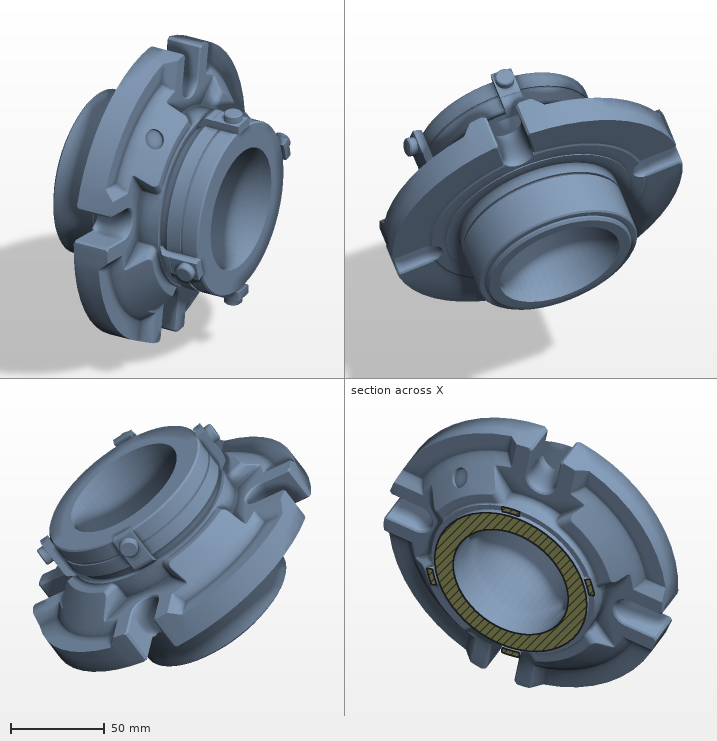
import cadquery as cq
import math


bore_diameter = 68.0
sleeve_diameter = 90.5
nose_diameter = 82.5
nose_length = 2.3
nose_chamfer = 1.3
sleeve_chamfer = 0.8
groove_diameter = 87.5
groove_start = 26.7
groove_width = 1.7

flange_diameter = 165.1
flange_front = 35.5
flange_back = 56.0
outer_face_diameter = 120.5
outer_face_base_diameter = 123.0
inner_face_diameter = 104.8
face_step = 0.5

slot_count = 4
slot_tilt = 9.8
slot_width = 16.8
slot_bottom_radius = 55.0
slot_edge_chamfer = 0.8
slot_corner_chamfer = 1.3

rim_back = 50.4
pad_half_width = 17.7
rim_corner_round = 1.0

hub_diameter = 96.7
hub_end = 68.2
gland_end = 67.2
low_segment_end = 63.9
low_segment_angle = slot_tilt + 45.0
cone_sum = 121.7
pocket_half_width = 14.5
pocket_base_radius = 46.0
pocket_half_angle = 43.0
pocket_inset = 3.3
pocket_end_round = 3.3
pocket_foot_round = 0.9
pocket_rim_round = 0.7

port_diameter = 11.0
port_depth = 2.3
port_x = 59.5
port_angle = -35.0

ring_diameter = 96.7
ring_start = 72.8
ring_end = 92.6
ring_chamfer = 0.8
ring_groove_diameter = 95.1
ring_groove_start = 81.7
ring_groove_width = 1.5

clip_angles = (0.0, 75.0, 180.0, 255.0)
clip_end = 94.1
clip_tip = 68.5
clip_groove_start = 77.8
clip_groove_end = 78.7
clip_groove_depth = 0.3
clip_bend = 73.1
clip_bend_round = 3.3
clip_span = 12.6
clip_outer_radius = 53.5
clip_tip_inner_radius = 45.0
clip_tip_outer_radius = 47.0
screw_x = 87.8
screw_head_diameter = 10.0
screw_head_top = 57.6
screw_head_chamfer = 0.7

segment_angle = 360.0 / slot_count
slot_angles = [slot_tilt + i * segment_angle for i in range(slot_count)]
flange_radius = flange_diameter / 2
beyond = 1.2 * flange_radius
touch = 0.03


def tube(start, end, diameter):
    """Solid cylinder along X."""
    return cq.Workplane("YZ", origin=(start, 0, 0)).circle(diameter / 2).extrude(end - start)


def revolve(points, angle=360):
    """Revolve a closed (x, radius) outline about the X axis, starting at +Y."""
    return cq.Workplane("XY").polyline(points).close().revolve(angle, (0, 0, 0), (1, 0, 0))


def ring_groove(start, width, diameter):
    """Cutter that leaves the given diameter at the bottom of a groove."""
    return tube(start, start + width, flange_diameter).cut(tube(start, start + width, diameter))


def turn(shape, angle):
    """Turn a shape from +Z towards +Y about the X axis."""
    return shape.rotate((0, 0, 0), (1, 0, 0), -angle)


def around(shape, angles):
    """Union of turned copies of a shape."""
    copies = turn(shape, angles[0])
    for angle in angles[1:]:
        copies = copies.union(turn(shape, angle))
    return copies


def slot_cutter():
    """Round-bottomed slot open at the rim, along +Z."""
    centre = slot_bottom_radius + slot_width / 2
    length = beyond - centre
    plane = cq.Workplane("YZ")
    straight = plane.center(0, centre + length / 2).rect(slot_width, length).extrude(hub_end)
    rounded = plane.center(0, centre).circle(slot_width / 2).extrude(hub_end)
    return straight.union(rounded)


def pad():
    """Raised bar along +Z with 45 degree flanks."""
    height = flange_back - rim_back
    foot = pad_half_width + height
    outline = [
        (rim_back, -foot),
        (rim_back, foot),
        (flange_back, pad_half_width),
        (flange_back, -pad_half_width),
    ]
    return cq.Workplane("XY").polyline(outline).close().extrude(beyond)


def rim_recess():
    """Ring outside the cone, set back between the pads."""
    ring = revolve([
        (rim_back, cone_sum - rim_back),
        (rim_back, beyond),
        (flange_back, beyond),
        (flange_back, cone_sum - flange_back),
    ])
    recess = ring.cut(around(pad(), slot_angles))
    inner_corners = recess.edges().filter(
        lambda edge: edge.positionAt(0.5).x < rim_back + touch or edge.geomType() == "PARABOLA"
    )
    return inner_corners.fillet(rim_corner_round)


def axis_distance(edge):
    """Distance of the middle of an edge from the X axis."""
    middle = edge.positionAt(0.5)
    return math.hypot(middle.y, middle.z)


def is_line(edge):
    """True for a straight edge."""
    return edge.geomType() == "LINE"


def flange():
    """Slotted plate with its rim set back and stepped faces in front."""
    slots = around(slot_cutter(), slot_angles)
    plate = turn(tube(flange_front, flange_back, flange_diameter), slot_tilt).cut(slots)
    corners = plate.edges("|X").filter(lambda edge: axis_distance(edge) > flange_radius - touch)
    plate = corners.chamfer(slot_corner_chamfer)
    sides = plate.edges().filter(
        lambda edge: is_line(edge)
        and axis_distance(edge) > slot_bottom_radius + slot_width / 2
        and abs(edge.tangentAt(0.5).x) < touch
    )
    plate = sides.chamfer(slot_edge_chamfer)
    face_base = flange_front + 2 * slot_edge_chamfer
    outer_face = revolve([
        (flange_front - face_step, 0),
        (flange_front - face_step, outer_face_diameter / 2),
        (flange_front, outer_face_base_diameter / 2),
        (face_base, outer_face_base_diameter / 2),
        (face_base, 0),
    ])
    inner_face = tube(flange_front - 2 * face_step, face_base, inner_face_diameter)
    return plate.cut(rim_recess()).union(outer_face).union(inner_face).cut(slots)


def pocket(end):
    """V-shaped clearance behind a slot, along +Z, from the flange to the end of the cone."""
    slope = math.tan(math.radians(pocket_half_angle))
    narrow = pocket_half_width - pocket_inset * slope
    wide = pocket_half_width + (beyond - pocket_base_radius) * slope
    base = pocket_base_radius - pocket_inset
    outline = [
        (-narrow, base),
        (narrow, base),
        (wide, beyond),
        (-wide, beyond),
    ]
    floor = cq.Workplane("YZ", origin=(flange_back, 0, 0))
    return floor.polyline(outline).close().extrude(end - flange_back)


def gland_cone(end):
    """Cone behind the flange, cut by the pockets, ending at the given X."""
    cone = revolve([
        (flange_back, 0),
        (flange_back, cone_sum - flange_back),
        (end, cone_sum - end),
        (end, 0),
    ])
    cone = cone.cut(around(pocket(end), slot_angles))
    outer_ends = cone.faces(">X").edges().filter(
        lambda edge: is_line(edge) and axis_distance(edge) > pocket_base_radius
    )
    return outer_ends.fillet(pocket_end_round)


def segment_wedge(angle):
    """Quarter of space centred on the given angle."""
    half = math.radians(segment_angle / 2)
    reach = 2 * beyond
    corner = (reach * math.sin(half), reach * math.cos(half))
    wedge = cq.Workplane("YZ").polyline([(0, 0), corner, (-corner[0], corner[1])]).close().extrude(hub_end)
    return turn(wedge, angle)


def gland():
    """Cone with one segment ending sooner than the rest, and the hub inside it."""
    wedge = segment_wedge(low_segment_angle)
    cone = gland_cone(gland_end).cut(wedge).union(gland_cone(low_segment_end).intersect(wedge))
    return cone.union(tube(flange_back, hub_end, hub_diameter))


def round_pocket_feet(body):
    """Round the inner corners of the pockets along the hub and the floor."""
    hub_radius = hub_diameter / 2

    def is_foot(edge):
        middle = edge.positionAt(0.5)
        distance = axis_distance(edge)
        on_hub = abs(distance - hub_radius) < touch and flange_back - touch < middle.x < hub_end - touch
        at_floor = abs(middle.x - flange_back) < touch
        on_floor = at_floor and is_line(edge) and hub_radius < distance < cone_sum - flange_back
        return on_hub or on_floor

    feet = body.edges().filter(is_foot)
    return feet.fillet(pocket_foot_round)


def round_pocket_rims(body):
    """Round the outer edges where the pocket walls break through the cone."""
    rims = body.edges().filter(
        lambda edge: edge.geomType() not in ("LINE", "CIRCLE")
        and edge.positionAt(0.5).x > flange_back
        and abs(edge.positionAt(0.5).x + axis_distance(edge) - cone_sum) < touch
    )
    return rims.fillet(pocket_rim_round)


def port():
    """Short bore square to the cone."""
    axis = cq.Vector(1, 0, 1).normalized()
    mouth = cq.Vector(port_x, 0, cone_sum - port_x)
    plane = cq.Plane(mouth - axis * port_depth, (0, 1, 0), axis)
    bore = cq.Workplane(plane).circle(port_diameter / 2).extrude(2 * port_depth)
    return turn(bore, port_angle)


def sleeve():
    """Solid sleeve with a chamfered nose and a narrow groove; the bore is cut last."""
    body = tube(nose_length, ring_end, sleeve_diameter).faces("<X").chamfer(sleeve_chamfer)
    groove = ring_groove(groove_start, groove_width, groove_diameter)
    nose = tube(0, nose_length, nose_diameter).faces("<X").chamfer(nose_chamfer)
    return body.cut(groove).union(nose)


def lock_ring():
    """Chamfered ring with a shallow groove."""
    ring = tube(ring_start, ring_end, ring_diameter).faces("<X or >X").chamfer(ring_chamfer)
    return ring.cut(ring_groove(ring_groove_start, ring_groove_width, ring_groove_diameter))


def clip():
    """Setting clip on the lock ring at +Z: a curved bar with a bent leg and a screw."""
    profile = [
        (clip_tip, clip_tip_inner_radius),
        (clip_tip, clip_tip_outer_radius),
        (clip_bend, clip_outer_radius),
        (clip_groove_start, clip_outer_radius),
        (clip_groove_start, clip_outer_radius - clip_groove_depth),
        (clip_groove_end, clip_outer_radius - clip_groove_depth),
        (clip_groove_end, clip_outer_radius),
        (clip_end, clip_outer_radius),
        (clip_end, ring_diameter / 2),
        (clip_bend, ring_diameter / 2),
    ]
    bar = revolve(profile, clip_span)
    bar = bar.rotate((0, 0, 0), (1, 0, 0), 90 - clip_span / 2)
    bend = bar.edges().filter(
        lambda edge: abs(edge.positionAt(0.5).x - clip_bend) < touch
        and abs(axis_distance(edge) - clip_outer_radius) < touch
    )
    bar = bend.fillet(clip_bend_round)
    screw = cq.Workplane("XY", origin=(screw_x, 0, ring_diameter / 2)).circle(screw_head_diameter / 2)
    screw = screw.extrude(screw_head_top - ring_diameter / 2).faces(">Z").chamfer(screw_head_chamfer)
    return bar.union(screw)


body = flange().union(gland())
body = round_pocket_rims(round_pocket_feet(body)).cut(port())
solid = body.union(sleeve()).union(lock_ring()).union(around(clip(), clip_angles))
result = solid.cut(tube(0, clip_end, bore_diameter))